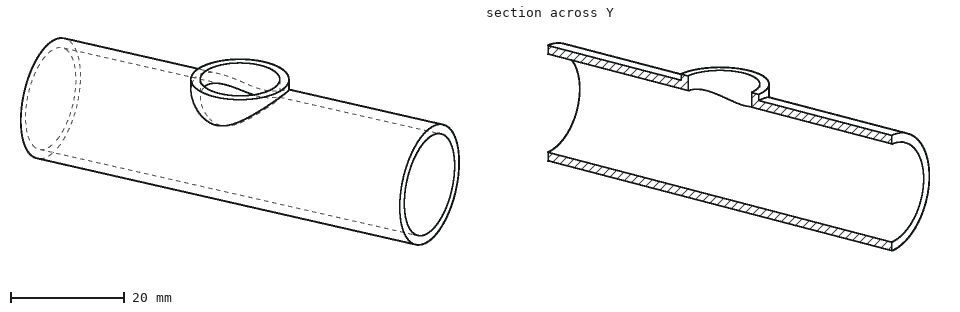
import cadquery as cq

pipe_length = 76.2
pipe_outer_diameter = 21.7
pipe_bore_diameter = 18.4

branch_outer_diameter = 17.3
branch_bore_diameter = 14.0
overall_height = 22.85
branch_top = overall_height - pipe_outer_diameter / 2


def pipe_cylinder(diameter):
    """Full-length cylinder on the X axis, centred on the origin."""
    return cq.Workplane("YZ").circle(diameter / 2).extrude(pipe_length / 2, both=True)


def branch_cylinder(diameter):
    """Cylinder on the Z axis, from the pipe axis up to the branch rim."""
    return cq.Workplane("XY").circle(diameter / 2).extrude(branch_top)


outer_body = pipe_cylinder(pipe_outer_diameter).union(branch_cylinder(branch_outer_diameter))
result = outer_body.cut(pipe_cylinder(pipe_bore_diameter)).cut(branch_cylinder(branch_bore_diameter))